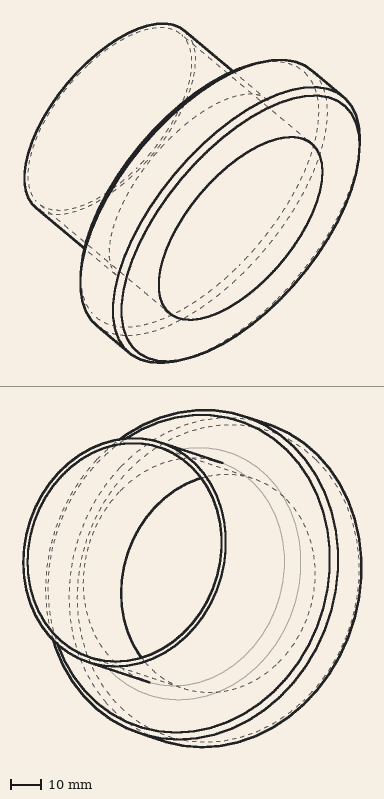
import cadquery as cq

total_length = 64.0
tube_outer_diameter = 76.2
bore_diameter = 72.9
flange_diameter = 110.0
flange_thickness = 20.0
flange_chamfer = 2.0
neck_fillet_radius = 4.0

flange_start = total_length - flange_thickness


def x_cylinder(diameter, start, length):
    """Cylinder along +X with its first end face at x = start."""
    return cq.Workplane("YZ", origin=(start, 0, 0)).circle(diameter / 2).extrude(length)


def make_flange():
    """Disc with both outer rims chamfered."""
    disc = x_cylinder(flange_diameter, flange_start, flange_thickness)
    return disc.edges("%CIRCLE").chamfer(flange_chamfer)


def add_tube(flange):
    """Join the tube to the flange and fillet the corner between them."""
    tube = x_cylinder(tube_outer_diameter, 0, flange_start)
    neck_corner = cq.selectors.RadiusNthSelector(0)
    return flange.union(tube).faces("<X[1]").edges(neck_corner).fillet(neck_fillet_radius)


def cut_bore(body):
    """Bore straight through the tube and the flange."""
    return body.cut(x_cylinder(bore_diameter, 0, total_length))


result = cut_bore(add_tube(make_flange()))